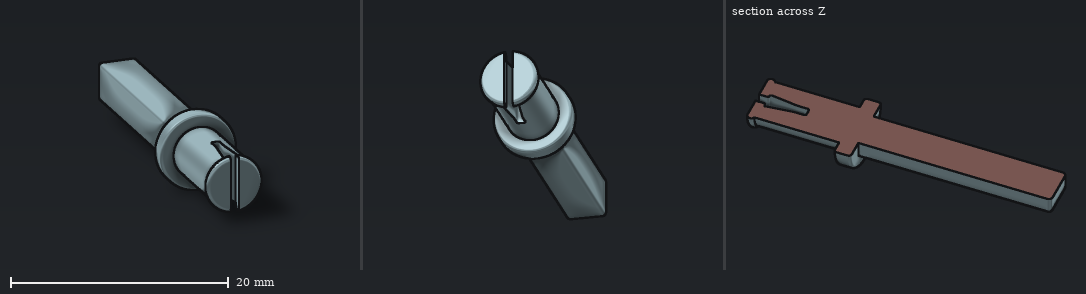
import cadquery as cq
import math

TOTAL_LENGTH = 30.0

SHANK_WIDTH = 3.75
SHANK_FILLET = 0.4
FLANGE_START = 19.15

FLANGE_DIAMETER = 7.5
FLANGE_THICKNESS = 1.7
FLANGE_FILLET = 0.3
FLANGE_END = FLANGE_START + FLANGE_THICKNESS

PIN_DIAMETER = 5.0
BEAD_DIAMETER = 5.5
BEAD_RADIUS = 0.4

SLOT_WIDTH = 0.8
SLOT_START = 25.0
SLOT_TAPER_START = 26.15
SLOT_TAPER_END = 29.0
SLOT_WIDEST = 1.5
SLOT_BEND_RADIUS = 2.0
SLOT_STEP_FILLET = 0.16
SLOT_END_FILLET = 0.15


def make_shank():
    """Square bar with rounded long edges and a rounded free end."""
    bar = cq.Workplane("YZ").rect(SHANK_WIDTH, SHANK_WIDTH).extrude(FLANGE_START)
    return bar.edges("|X or <X").fillet(SHANK_FILLET)


def make_flange():
    """Disc with both rims rounded."""
    disc = cq.Workplane("YZ", origin=(FLANGE_START, 0, 0)).circle(FLANGE_DIAMETER / 2)
    return disc.extrude(FLANGE_THICKNESS).edges().fillet(FLANGE_FILLET)


def make_pin():
    """Cylinder ending in a half-round bead, revolved about the X axis."""
    pin_radius = PIN_DIAMETER / 2
    bead_center_x = TOTAL_LENGTH - BEAD_RADIUS
    bead_crest_y = BEAD_DIAMETER / 2
    bead_center_y = bead_crest_y - BEAD_RADIUS
    bead_start_x = bead_center_x - math.sqrt(BEAD_RADIUS**2 - (pin_radius - bead_center_y) ** 2)
    return (
        cq.Workplane("XY")
        .moveTo(FLANGE_END, 0)
        .lineTo(FLANGE_END, pin_radius)
        .lineTo(bead_start_x, pin_radius)
        .threePointArc((bead_center_x, bead_crest_y), (TOTAL_LENGTH, bead_center_y))
        .lineTo(TOTAL_LENGTH, 0)
        .close()
        .revolve(360, (0, 0, 0), (1, 0, 0))
    )


def make_slot():
    """Slot cutter: rounded inner end, widening taper, then a step back to a narrow mouth."""
    half_narrow = SLOT_WIDTH / 2
    half_wide = SLOT_WIDEST / 2
    cutter = (
        cq.Workplane("XY", origin=(0, 0, -BEAD_DIAMETER / 2))
        .moveTo(TOTAL_LENGTH, half_narrow)
        .lineTo(SLOT_TAPER_END, half_narrow)
        .lineTo(SLOT_TAPER_END, half_wide)
        .lineTo(SLOT_TAPER_START, half_narrow)
        .lineTo(SLOT_START, half_narrow)
        .lineTo(SLOT_START, -half_narrow)
        .lineTo(SLOT_TAPER_START, -half_narrow)
        .lineTo(SLOT_TAPER_END, -half_wide)
        .lineTo(SLOT_TAPER_END, -half_narrow)
        .lineTo(TOTAL_LENGTH, -half_narrow)
        .close()
        .extrude(BEAD_DIAMETER)
    )
    cutter = fillet_vertical_edges(cutter, SLOT_START, SLOT_END_FILLET)
    cutter = fillet_vertical_edges(cutter, SLOT_TAPER_START, SLOT_BEND_RADIUS)
    return fillet_vertical_edges(cutter, SLOT_TAPER_END, SLOT_STEP_FILLET)


def fillet_vertical_edges(body, x, radius, tolerance=0.01):
    """Round the edges of a body that run along Z at the given X position."""
    edges = [edge for edge in body.edges("|Z").vals() if abs(edge.Center().x - x) < tolerance]
    return body.newObject(edges).fillet(radius)


result = make_shank().union(make_flange()).union(make_pin()).cut(make_slot())